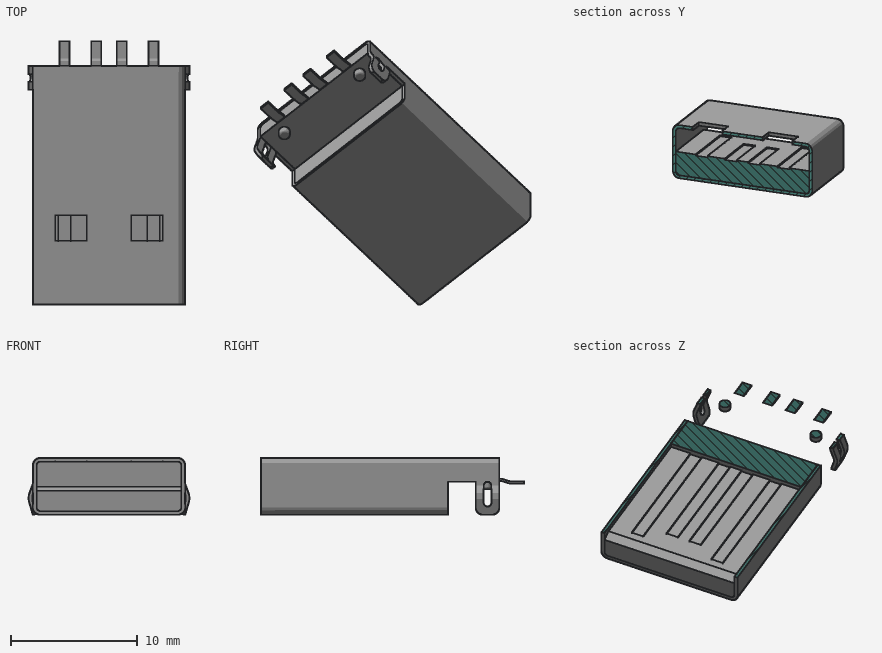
import math

import cadquery as cq

shell_width = 12.0
shell_height = 4.5
shell_length = 18.8
sheet = 0.3
corner_radius = 0.6
half_width = shell_width / 2
cavity_width = shell_width - 2 * sheet
cavity_radius = corner_radius - sheet

notch_y = 14.75
notch_z = 2.6

window_width = 2.5
window_length = 2.0
window_center_x = 3.0
window_front_y = 5.03

tab_half_span = 6.345
tab_length = 1.88
tab_corner_radius = 0.6
tab_upper_angle = math.radians(20.5)
tab_lower_angle = math.radians(16.5)
root_bend_radius = 0.8
bulge_radius = 1.12
slot_width = 0.6
slot_bottom_z = 0.67
tab_center_y = shell_length - tab_length / 2

tongue_top_z = 2.24
tongue_chamfer_height = 0.35
tongue_chamfer_length = 0.7
rear_block_y = 11.75
inner_contact_x = 1.0
outer_contact_x = 3.5
contact_pocket_width = 1.0
contact_pocket_depth = 0.1
outer_pocket_front_y = 1.37
inner_pocket_front_y = 2.5

post_radius = 0.45
post_bottom_z = 2.02
post_tip_fillet = 0.2
post_center_x = 4.0

tail_width = 0.8
tail_thickness = 0.2
tail_length = 1.95
tail_flat_length = 0.98
tail_end_z = 2.46
tail_bend_angle = math.radians(20)
tail_slope_run = 0.2


def box(x_range, y_range, z_range):
    """Axis-aligned box given by its limits."""
    size = [high - low for low, high in (x_range, y_range, z_range)]
    corner = (x_range[0], y_range[0], z_range[0])
    return cq.Workplane("XY").box(*size, centered=False).translate(corner)


def rounded_bar(width, height, radius, length):
    """Bar along Y from the mouth plane, with its four long edges rounded."""
    bar = cq.Workplane("XY").box(width, length, height).edges("|Y").fillet(radius)
    return bar.translate((0, length / 2, shell_height / 2))


def tab_section_points(depth):
    """Points down the right-hand tab, at the given depth below its outer surface."""
    def root_point(angle):
        radius = root_bend_radius + depth
        x = half_width + root_bend_radius - radius * math.cos(angle)
        return x, notch_z - radius * math.sin(angle)

    straight_run = (
        tab_half_span - half_width
        - (root_bend_radius + bulge_radius) * (1 - math.cos(tab_upper_angle))
    )
    straight_drop = straight_run / math.tan(tab_upper_angle)
    bends_drop = (root_bend_radius + bulge_radius) * math.sin(tab_upper_angle)
    bulge_z = notch_z - bends_drop - straight_drop

    def bulge_point(angle):
        radius = bulge_radius - depth
        x = tab_half_span - bulge_radius + radius * math.cos(angle)
        return x, bulge_z + radius * math.sin(angle)

    lower_drop = bulge_z - bulge_radius * math.sin(tab_lower_angle)
    bend_end_x = tab_half_span - bulge_radius * (1 - math.cos(tab_lower_angle))
    tip_x = bend_end_x - lower_drop * math.tan(tab_lower_angle)
    tip = (tip_x - depth * math.cos(tab_lower_angle), depth * math.sin(tab_lower_angle))
    return (
        root_point(0), root_point(tab_upper_angle / 2), root_point(tab_upper_angle),
        bulge_point(tab_upper_angle), bulge_point(0), bulge_point(-tab_lower_angle),
        tip,
    )


def make_right_tab():
    """Bent tab on the +X side with rounded lower corners and an upright slot."""
    outer = tab_section_points(0)
    inner = tab_section_points(sheet)
    tab = (
        cq.Workplane("XZ", origin=(0, shell_length, 0))
        .moveTo(*outer[0])
        .threePointArc(outer[1], outer[2])
        .lineTo(*outer[3])
        .threePointArc(outer[4], outer[5])
        .lineTo(*outer[6])
        .lineTo(*inner[6])
        .lineTo(*inner[5])
        .threePointArc(inner[4], inner[3])
        .lineTo(*inner[2])
        .threePointArc(inner[1], inner[0])
        .close()
        .extrude(tab_length)
    )
    outline = box(
        (0, shell_width), (shell_length - tab_length, shell_length), (0, shell_height)
    )
    outline = outline.edges("|X and <Z").fillet(tab_corner_radius)
    slot_height = notch_z - slot_bottom_z
    slot = (
        cq.Workplane("YZ")
        .center(tab_center_y, slot_bottom_z + slot_height / 2)
        .slot2D(slot_height, slot_width, 90)
        .extrude(shell_width)
    )
    return tab.intersect(outline).cut(slot)


def make_shell():
    """Tube with rear notch, two latch windows and two board-lock tabs."""
    outside = rounded_bar(shell_width, shell_height, corner_radius, shell_length)
    tube = outside.cut(make_cavity())
    tube = tube.cut(make_notch())
    window_end_y = window_front_y + window_length
    for center_x in (-window_center_x, window_center_x):
        sides = (center_x - window_width / 2, center_x + window_width / 2)
        window = box(sides, (window_front_y, window_end_y), (shell_height / 2, shell_height))
        tube = tube.cut(window)
    tab = make_right_tab()
    return tube.union(tab).union(tab.mirror("YZ"))


def make_cavity():
    """Inside space of the tube."""
    return rounded_bar(cavity_width, shell_height - 2 * sheet, cavity_radius, shell_length)


def make_notch():
    """Space below the rear end of the connector."""
    return box((-half_width, half_width), (notch_y, shell_length), (0, notch_z))


def make_tail():
    """S-bent solder tail centred on X = 0, starting at the rear face."""
    bend_run = (tail_length - tail_flat_length - tail_slope_run) / 2
    bend_radius = bend_run / math.sin(tail_bend_angle)
    bend_drop = bend_radius * (1 - math.cos(tail_bend_angle))
    slope_drop = tail_slope_run * math.tan(tail_bend_angle)
    half_drop = bend_radius * (1 - math.cos(tail_bend_angle / 2))
    half_run = bend_radius * math.sin(tail_bend_angle / 2)

    flat_y = shell_length + tail_length - tail_flat_length
    end_y = shell_length + tail_length

    def edge_points(base_z):
        root_z = base_z + 2 * bend_drop + slope_drop
        return (
            (shell_length, root_z),
            (shell_length + half_run, root_z - half_drop),
            (shell_length + bend_run, base_z + bend_drop + slope_drop),
            (flat_y - bend_run, base_z + bend_drop),
            (flat_y - half_run, base_z + half_drop),
            (flat_y, base_z),
            (end_y, base_z),
        )

    low = edge_points(tail_end_z)
    high = edge_points(tail_end_z + tail_thickness)
    return (
        cq.Workplane("YZ", origin=(-tail_width / 2, 0, 0))
        .moveTo(*low[0])
        .threePointArc(low[1], low[2])
        .lineTo(*low[3])
        .threePointArc(low[4], low[5])
        .lineTo(*low[6])
        .lineTo(*high[6])
        .lineTo(*high[5])
        .threePointArc(high[4], high[3])
        .lineTo(*high[2])
        .threePointArc(high[1], high[0])
        .close()
        .extrude(tail_width)
    )


def make_contact_pocket(center_x, front_y):
    """Shallow contact recess in the tongue, running back to the rear block."""
    sides = (center_x - contact_pocket_width / 2, center_x + contact_pocket_width / 2)
    return box(
        sides, (front_y, rear_block_y), (tongue_top_z - contact_pocket_depth, tongue_top_z)
    )


def make_right_post():
    """Round locating post on the +X side with a rounded tip."""
    post = (
        cq.Workplane("XY", origin=(post_center_x, tab_center_y, post_bottom_z))
        .circle(post_radius)
        .extrude(notch_z - post_bottom_z)
    )
    return post.faces("<Z").edges().fillet(post_tip_fillet)


def make_insert():
    """Tongue and rear block filling the shell, with contact pockets, tails and posts."""
    profile = (
        cq.Workplane("YZ", origin=(-half_width, 0, 0))
        .moveTo(0, 0)
        .lineTo(0, tongue_top_z - tongue_chamfer_height)
        .lineTo(tongue_chamfer_length, tongue_top_z)
        .lineTo(rear_block_y, tongue_top_z)
        .lineTo(rear_block_y, shell_height)
        .lineTo(shell_length, shell_height)
        .lineTo(shell_length, notch_z)
        .lineTo(notch_y, notch_z)
        .lineTo(notch_y, 0)
        .close()
        .extrude(shell_width)
    )
    insert = profile.intersect(make_cavity())
    tail = make_tail()
    contacts = ((inner_contact_x, inner_pocket_front_y), (outer_contact_x, outer_pocket_front_y))
    for distance, front_y in contacts:
        for center_x in (-distance, distance):
            pocket = make_contact_pocket(center_x, front_y)
            insert = insert.cut(pocket).union(tail.translate((center_x, 0, 0)))
    post = make_right_post()
    return insert.union(post).union(post.mirror("YZ"))


shell = make_shell()
insert = make_insert()
result = cq.Compound.makeCompound([shell.val(), insert.val()])